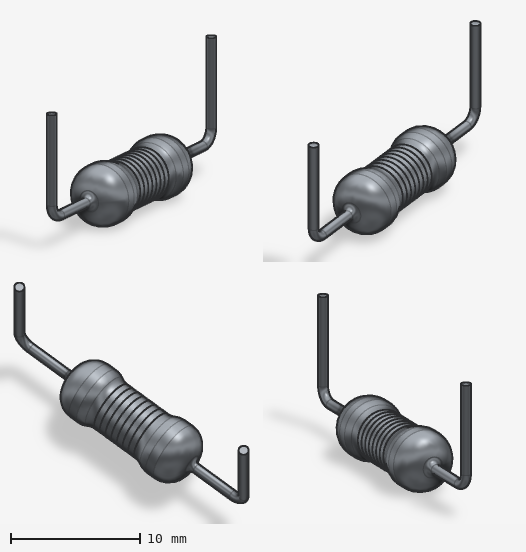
import cadquery as cq
import math

overall_length = 23.3
overall_height = 11.1
wire_diameter = 0.8
bend_radius = 1.19

cap_diameter = 5.0
waist_diameter = 4.25
band_diameter = 4.26
body_length = 12.02
cap_land_length = 0.77
dome_radius = 1.77
shoulder_length = 1.47
band_count = 4
collar_radius = 0.86
collar_length = 0.47

wire_radius = wire_diameter / 2
cap_radius = cap_diameter / 2
waist_radius = waist_diameter / 2
body_end = body_length / 2
dome_start = body_end - dome_radius
land_start = dome_start - cap_land_length
shoulder_start = land_start - shoulder_length
collar_end = body_end + collar_length
band_width = 2 * shoulder_start / (2 * band_count - 1)
lead_y = overall_length / 2 - wire_radius
lead_top = overall_height - cap_radius


def on_dome(radius):
    """Point of the rounded cap edge at the given distance from the axis."""
    offset = radius - (cap_radius - dome_radius)
    return radius, dome_start + math.sqrt(dome_radius**2 - offset**2)


def disc(start, length, radius):
    """Cylinder on the Y axis, running from start toward +Y."""
    return cq.Workplane("XZ", origin=(0, start, 0)).circle(radius).extrude(-length)


def end_cap():
    """Cap on the +Y side, from the shoulder to the end of the lead flare."""
    shoulder_middle = ((waist_radius + cap_radius) / 2, (shoulder_start + land_start) / 2)
    rise = cap_radius - waist_radius
    shoulder_arc_radius = (shoulder_length**2 + rise**2) / (4 * rise)
    dome_middle = on_dome(cap_radius - dome_radius * (1 - math.sqrt(0.5)))
    collar_base = on_dome(collar_radius)
    return (
        cq.Workplane("XY")
        .moveTo(0, shoulder_start)
        .lineTo(waist_radius, shoulder_start)
        .radiusArc(shoulder_middle, shoulder_arc_radius)
        .tangentArcPoint((cap_radius, land_start), relative=False)
        .lineTo(cap_radius, dome_start)
        .threePointArc(dome_middle, collar_base)
        .radiusArc((wire_radius, collar_end), collar_length)
        .lineTo(0, collar_end)
        .close()
        .revolve(360, (0, 0, 0), (0, 1, 0))
    )


def waist():
    """Straight middle of the body with slightly raised, evenly spaced bands."""
    body = disc(-shoulder_start, 2 * shoulder_start, waist_radius)
    for index in range(band_count):
        band_start = -shoulder_start + 2 * index * band_width
        body = body.union(disc(band_start, band_width, band_diameter / 2))
    return body


def bent_lead():
    """Wire from the +Y cap, bent upward to its free end."""
    bend_start = lead_y - bend_radius
    path = (
        cq.Workplane("YZ")
        .moveTo(body_end, 0)
        .lineTo(bend_start, 0)
        .tangentArcPoint((lead_y, bend_radius), relative=False)
        .lineTo(lead_y, lead_top)
    )
    return cq.Workplane("XZ", origin=(0, body_end, 0)).circle(wire_radius).sweep(path)


capped_lead = end_cap().union(bent_lead())
result = waist().union(capped_lead).union(capped_lead.mirror("XZ"))